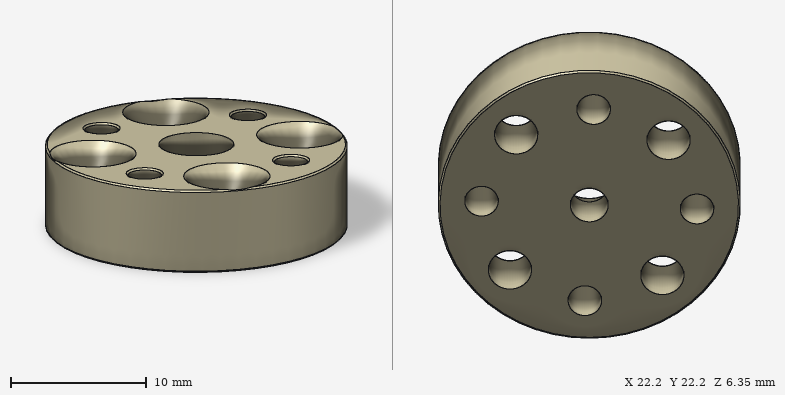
import cadquery as cq
import math

disc_diameter = 22.23
disc_height = 6.35
rim_chamfer = 0.13

pitch_radius = 7.94
holes_per_set = 4

screw_hole_diameter = 3.18
countersink_diameter = 6.35
countersink_angle = 82.0

small_hole_diameter = 2.47
small_hole_chamfer = 0.13

bore_diameter = 2.78
counterbore_diameter = 5.51
counterbore_depth = disc_height / 2


def countersunk_cutter(hole_diameter, mouth_diameter, cone_depth):
    """Through hole on the Z axis, widening to a cone at the top face."""
    hole_radius = hole_diameter / 2
    mouth_radius = mouth_diameter / 2
    return (
        cq.Workplane("XZ")
        .moveTo(0, 0)
        .lineTo(hole_radius, 0)
        .lineTo(hole_radius, disc_height - cone_depth)
        .lineTo(mouth_radius, disc_height)
        .lineTo(0, disc_height)
        .close()
        .revolve(360, (0, 0, 0), (0, 1, 0))
    )


def cut_hole_circle(body, cutter, start_angle):
    """Cut one set of equally spaced holes on the pitch circle."""
    for index in range(holes_per_set):
        angle = math.radians(start_angle + index * 360 / holes_per_set)
        place = (pitch_radius * math.cos(angle), pitch_radius * math.sin(angle), 0)
        body = body.cut(cutter.translate(place))
    return body


hub = cq.Workplane("XY").circle(disc_diameter / 2).extrude(disc_height)
hub = hub.faces("<Z or >Z").edges().chamfer(rim_chamfer)
hub = hub.faces(">Z").workplane().cboreHole(bore_diameter, counterbore_diameter, counterbore_depth)

countersink_width = (countersink_diameter - screw_hole_diameter) / 2
countersink_depth = countersink_width / math.tan(math.radians(countersink_angle / 2))
screw_cutter = countersunk_cutter(screw_hole_diameter, countersink_diameter, countersink_depth)
hub = cut_hole_circle(hub, screw_cutter, 0)

small_mouth_diameter = small_hole_diameter + 2 * small_hole_chamfer
small_cutter = countersunk_cutter(small_hole_diameter, small_mouth_diameter, small_hole_chamfer)
result = cut_hole_circle(hub, small_cutter, 180 / holes_per_set)